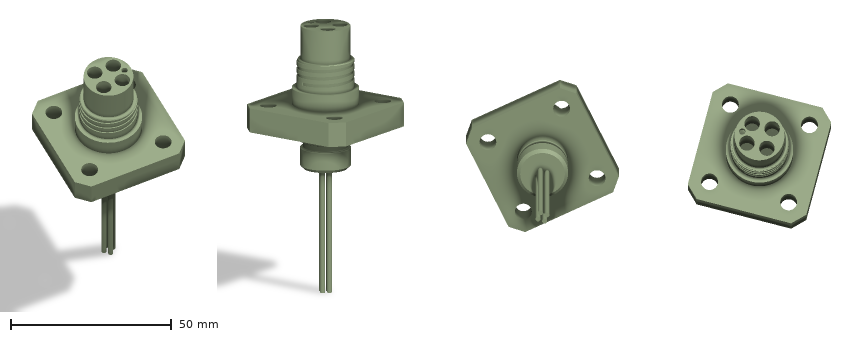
import cadquery as cq

total_length = 85.7

flange_side = 38.1
flange_thickness = 7.7
flange_corner_chamfer = 3.85
mount_hole_diameter = 5.2
mount_hole_spacing = 25.45

collar_diameter = 21.0
collar_top = 12.9
sleeve_diameter = 18.0
sleeve_top = 22.2
sleeve_chamfer = 0.25
barrel_diameter = 15.5
barrel_top = 32.8

thread_pitch = 2.3
groove_width = 1.0
groove_depth = 0.3
groove_start_height = 15.25
groove_start_angle = 162.0

socket_diameter = 4.8
socket_spacing = 6.4
socket_depth = barrel_top - sleeve_top
mark_diameter = 2.0
mark_offset = 5.6
mark_depth = mark_diameter

rear_diameter = 15.9
rear_length = 12.9
rear_chamfer = 1.0
seal_groove_diameter = 13.9
seal_groove_front = 4.2
seal_groove_width = 2.05
seal_groove_round = 0.2

wire_diameter = 1.5
wire_circle_radius = wire_diameter
wire_count = 4
wire_embedding = 0.85
wire_end = barrel_top - total_length


def cylinder(diameter, bottom, top):
    """Cylinder on the Z axis between two heights."""
    return cq.Workplane("XY").workplane(offset=bottom).circle(diameter / 2).extrude(top - bottom)


def make_flange():
    """Square plate with cut corners and four through holes."""
    plate = cq.Workplane("XY").rect(flange_side, flange_side).extrude(flange_thickness)
    plate = plate.edges("|Z").chamfer(flange_corner_chamfer)
    holes = plate.faces(">Z").workplane().rect(mount_hole_spacing, mount_hole_spacing, forConstruction=True)
    return holes.vertices().hole(mount_hole_diameter)


def make_thread_groove():
    """Right-hand helical cutter that starts abruptly and climbs to just above the sleeve's top face."""
    root_radius = sleeve_diameter / 2 - groove_depth
    cutter_thickness = 2 * groove_depth
    height = sleeve_top + groove_width - groove_start_height
    helix = cq.Workplane("XY").add(cq.Wire.makeHelix(thread_pitch, height, root_radius))
    profile = cq.Workplane("XZ").center(root_radius + cutter_thickness / 2, 0)
    cutter = profile.rect(cutter_thickness, groove_width).sweep(helix, isFrenet=True)
    return cutter.rotate((0, 0, 0), (0, 0, 1), groove_start_angle).translate((0, 0, groove_start_height))


def make_sleeve():
    """Threaded sleeve: a groove cut in an overlong blank, then trimmed so the thread runs out at the top."""
    blank = cylinder(sleeve_diameter, 0, sleeve_top + 2 * thread_pitch)
    envelope = cylinder(sleeve_diameter, 0, sleeve_top).faces(">Z").chamfer(sleeve_chamfer)
    return blank.cut(make_thread_groove()).intersect(envelope)


def make_front():
    """Collar, threaded sleeve and barrel, with the sockets and coding mark sunk into the barrel face."""
    collar = cylinder(collar_diameter, 0, collar_top)
    barrel = cylinder(barrel_diameter, 0, barrel_top)
    face = cq.Workplane("XY").workplane(offset=barrel_top)
    socket_centres = face.rect(socket_spacing, socket_spacing, forConstruction=True).vertices()
    sockets = socket_centres.circle(socket_diameter / 2).extrude(-socket_depth)
    mark = face.center(0, mark_offset).circle(mark_diameter / 2).extrude(-mark_depth)
    return collar.union(make_sleeve()).union(barrel).cut(sockets).cut(mark)


def make_rear():
    """Rear body with a chamfered end and a seal groove whose edges are rounded."""
    body = cylinder(rear_diameter, -rear_length, 0).faces("<Z").chamfer(rear_chamfer)
    groove_top = -seal_groove_front
    groove_bottom = groove_top - seal_groove_width
    ring = cylinder(rear_diameter, groove_bottom, groove_top)
    ring = ring.cut(cylinder(seal_groove_diameter, groove_bottom, groove_top))
    body = body.cut(ring)
    around_groove = cq.selectors.BoxSelector(
        (-rear_diameter, -rear_diameter, groove_bottom - seal_groove_round),
        (rear_diameter, rear_diameter, groove_top + seal_groove_round),
    )
    return body.edges(around_groove).fillet(seal_groove_round)


def make_wires():
    """Round wires spaced evenly on a circle, rooted slightly inside the rear body."""
    wire_top = wire_embedding - rear_length
    centres = cq.Workplane("XY").workplane(offset=wire_end).polarArray(wire_circle_radius, 0, 360, wire_count)
    return centres.circle(wire_diameter / 2).extrude(wire_top - wire_end)


result = make_flange().union(make_front()).union(make_rear()).union(make_wires())